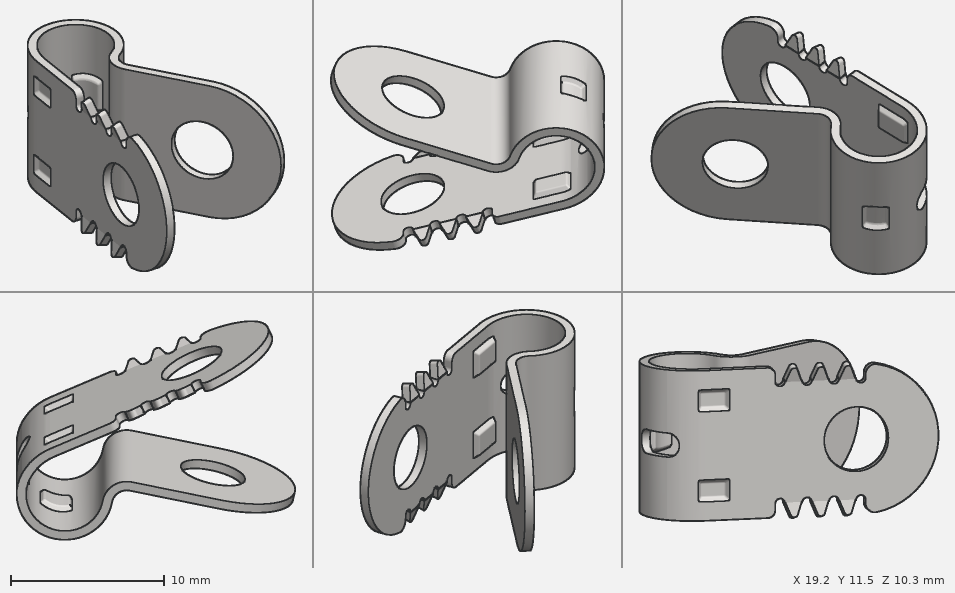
import cadquery as cq
import math

SHEET = 0.62
WIDTH = 10.0
END_RADIUS = WIDTH / 2
MAIN_RADIUS = 2.83
LEAD_RADIUS = 3.53
LEAD_ANGLE = 38.0
NECK_RADIUS = 1.27
NECK_HEADING = -56.4
ARM_HEADING = 36.3
ARM_LENGTH = 5.91
PLATE_LENGTH = 10.61

HOLE_DIAMETER = 4.3
HOLE_SETBACK = 0.5

TOOTH_COUNT = 3
TOOTH_PITCH = 1.8
ROOT_RADIUS = 0.32
ROOT_HEIGHT = 4.06
LAST_ROOT_OFFSET = 0.19
NOTCH_FILLET_LOOP = 0.5
NOTCH_FILLET_END = 0.62
TOOTH_TILT = 16.0
TOOTH_PIVOT_HEIGHT = 4.1
TOOTH_LENGTH = 1.075
TOOTH_TIP_WIDTH = 0.36
TOOTH_TIP_FILLET = 0.25

DIMPLE_LENGTH = 2.1
DIMPLE_WIDTH = 1.46
DIMPLE_DEPTH = 0.34
DIMPLE_SLOPE = 0.25
DIMPLE_FILLET = 0.17
DIMPLE_WALL_GROWTH = 0.27
PLATE_DIMPLE_HEIGHT = 3.0
PLATE_DIMPLE_OFFSET = 0.6
LOOP_DIMPLE_WIDTH = 1.95
LOOP_BLOCK_DEPTH = 0.9
LOOP_DIMPLE_ANGLE = 128.3

SLOT_WIDTH = 1.6
SLOT_START = 199.0
SLOT_END = 233.0

LEAD_SHIFT = LEAD_RADIUS - MAIN_RADIUS
LEAD_X = LEAD_SHIFT * math.sin(math.radians(LEAD_ANGLE))
PLATE_MID_Y = LEAD_SHIFT * math.cos(math.radians(LEAD_ANGLE)) - LEAD_RADIUS
PLATE_OUTER_Y = PLATE_MID_Y - SHEET / 2
PLATE_INNER_Y = PLATE_MID_Y + SHEET / 2
PLATE_END_X = LEAD_X + PLATE_LENGTH
LAST_ROOT_X = PLATE_END_X - LAST_ROOT_OFFSET
FIRST_ROOT_X = LAST_ROOT_X - TOOTH_COUNT * TOOTH_PITCH
NOTCH_LOOP_X = FIRST_ROOT_X - ROOT_RADIUS
NOTCH_END_X = LAST_ROOT_X + ROOT_RADIUS
LOOP_OUTER = MAIN_RADIUS + SHEET / 2
LOOP_INNER = MAIN_RADIUS - SHEET / 2
MARGIN = 2.0
CUT_DEPTH = 2 * SHEET


def polar(center, radius, angle):
    a = math.radians(angle)
    return (center[0] + radius * math.cos(a), center[1] + radius * math.sin(a))


LEAD_CENTER = (LEAD_X, PLATE_MID_Y + LEAD_RADIUS)
NECK_CENTER = polar((0, 0), MAIN_RADIUS + NECK_RADIUS, NECK_HEADING + 90)
ARM_START = polar(NECK_CENTER, NECK_RADIUS, ARM_HEADING - 90)
ARM_END = polar(ARM_START, ARM_LENGTH, ARM_HEADING)
ARM_TIP = polar(ARM_END, END_RADIUS, ARM_HEADING)


def edge_points(outward):
    """Corner and mid-arc points of one strip face, `outward` away from mid-sheet."""
    lead = LEAD_RADIUS + outward
    loop = MAIN_RADIUS + outward
    neck = NECK_RADIUS - outward
    join = 270 - LEAD_ANGLE
    loop_end = NECK_HEADING + 90
    return {
        "plate_tip": (PLATE_END_X + END_RADIUS, PLATE_MID_Y - outward),
        "lead_start": polar(LEAD_CENTER, lead, 270),
        "lead_mid": polar(LEAD_CENTER, lead, 270 - LEAD_ANGLE / 2),
        "loop_start": polar((0, 0), loop, join),
        "loop_mid": polar((0, 0), loop, (join + loop_end) / 2),
        "neck_start": polar((0, 0), loop, loop_end),
        "neck_mid": polar(NECK_CENTER, neck, (NECK_HEADING + ARM_HEADING) / 2 - 90),
        "arm_start": polar(NECK_CENTER, neck, ARM_HEADING - 90),
        "arm_tip": polar(ARM_TIP, outward, ARM_HEADING + 90),
    }


def make_strip():
    outer = edge_points(SHEET / 2)
    inner = edge_points(-SHEET / 2)
    outline = (
        cq.Workplane("XY", origin=(0, 0, -WIDTH / 2))
        .moveTo(*outer["plate_tip"])
        .lineTo(*outer["lead_start"])
        .threePointArc(outer["lead_mid"], outer["loop_start"])
        .threePointArc(outer["loop_mid"], outer["neck_start"])
        .threePointArc(outer["neck_mid"], outer["arm_start"])
        .lineTo(*outer["arm_tip"])
        .lineTo(*inner["arm_tip"])
        .lineTo(*inner["arm_start"])
        .threePointArc(inner["neck_mid"], inner["neck_start"])
        .threePointArc(inner["loop_mid"], inner["loop_start"])
        .threePointArc(inner["lead_mid"], inner["lead_start"])
        .lineTo(*inner["plate_tip"])
        .close()
    )
    return outline.extrude(WIDTH)


def leg_plane(end_center, heading):
    """Plane half a sheet outside the leg face, on the end centre: local x along the leg."""
    a = math.radians(heading)
    return cq.Plane(
        origin=(*polar(end_center, SHEET, heading + 90), 0),
        xDir=(math.cos(a), math.sin(a), 0),
        normal=(math.sin(a), -math.cos(a), 0),
    )


def round_leg_end(body, plane):
    """Round off the square tip of a leg and drill its screw hole."""
    tip = (
        cq.Workplane(plane)
        .center(END_RADIUS / 2 + MARGIN / 2, 0)
        .rect(END_RADIUS + MARGIN, WIDTH + MARGIN)
        .extrude(CUT_DEPTH)
    )
    disc = cq.Workplane(plane).circle(END_RADIUS).extrude(CUT_DEPTH)
    hole = (
        cq.Workplane(plane)
        .center(-HOLE_SETBACK, 0)
        .circle(HOLE_DIAMETER / 2)
        .extrude(CUT_DEPTH)
    )
    return body.cut(tip.cut(disc)).cut(hole)


def make_tooth(index):
    """Tooth on the +Z edge, leaning outward about its bend line on the inner face."""
    x = FIRST_ROOT_X + (index + 0.5) * TOOTH_PITCH
    base_width = TOOTH_PITCH - 2 * ROOT_RADIUS
    tooth = (
        cq.Workplane("XZ", origin=(x, PLATE_INNER_Y, TOOTH_PIVOT_HEIGHT))
        .moveTo(-base_width / 2, 0)
        .lineTo(base_width / 2, 0)
        .lineTo(TOOTH_TIP_WIDTH / 2, TOOTH_LENGTH)
        .lineTo(-TOOTH_TIP_WIDTH / 2, TOOTH_LENGTH)
        .close()
        .extrude(SHEET)
        .edges("|Y and >Z")
        .fillet(TOOTH_TIP_FILLET)
    )
    pivot = (x, PLATE_INNER_Y, TOOTH_PIVOT_HEIGHT)
    return tooth.rotate(pivot, (x + 1, pivot[1], pivot[2]), TOOTH_TILT)


def make_notch():
    """Cutting body for the notch in the +Z edge, with its row of round roots."""
    length = NOTCH_END_X - NOTCH_LOOP_X
    height = WIDTH / 2 + MARGIN - ROOT_HEIGHT
    notch = cq.Workplane("XY").box(length, CUT_DEPTH, height, centered=(False, True, False))
    notch = notch.translate((NOTCH_LOOP_X, PLATE_MID_Y, ROOT_HEIGHT))
    roots = [(FIRST_ROOT_X + i * TOOTH_PITCH, ROOT_HEIGHT) for i in range(TOOTH_COUNT + 1)]
    root_cutters = (
        cq.Workplane("XZ", origin=(0, PLATE_MID_Y + SHEET, 0))
        .pushPoints(roots)
        .circle(ROOT_RADIUS)
        .extrude(CUT_DEPTH)
    )
    return notch.union(root_cutters)


def notch_corner(x):
    """Selector for the outer corner edges of both notches at one X."""
    return cq.selectors.BoxSelector(
        (x - ROOT_RADIUS / 2, PLATE_OUTER_Y - SHEET, -WIDTH),
        (x + ROOT_RADIUS / 2, PLATE_INNER_Y + SHEET, WIDTH),
    )


def add_teeth(body):
    notch = make_notch()
    body = body.cut(notch).cut(notch.mirror("XY"))
    corners = {NOTCH_LOOP_X: NOTCH_FILLET_LOOP, NOTCH_END_X: NOTCH_FILLET_END}
    for x, radius in corners.items():
        body = body.edges("|Y").edges(notch_corner(x)).edges(">Z or <Z").fillet(radius)
    for index in range(TOOTH_COUNT):
        tooth = make_tooth(index)
        body = body.union(tooth).union(tooth.mirror("XY"))
    return body


def tapered_block(plane, length, width, depth):
    """Block with equally sloped walls, shrinking along the plane normal."""
    run = DIMPLE_SLOPE / DIMPLE_DEPTH * depth
    return (
        cq.Workplane(plane)
        .rect(length, width)
        .workplane(offset=depth)
        .rect(length - 2 * run, width - 2 * run)
        .loft(ruled=True)
    )


def rounded_block(plane, length, width, depth):
    """Tapered block with its wall corners and far face edges rounded."""
    block = tapered_block(plane, length, width, depth)
    near_edges = cq.selectors.DirectionMinMaxSelector(plane.zDir, directionMax=False)
    return block.edges(cq.selectors.InverseSelector(near_edges)).fillet(DIMPLE_FILLET)


def add_plate_dimples(body):
    x = LEAD_X + PLATE_DIMPLE_OFFSET
    grown_length = DIMPLE_LENGTH + 2 * DIMPLE_WALL_GROWTH
    grown_width = DIMPLE_WIDTH + 2 * DIMPLE_WALL_GROWTH
    for z in (-PLATE_DIMPLE_HEIGHT, PLATE_DIMPLE_HEIGHT):
        inner_plane = cq.Plane((x, PLATE_INNER_Y, z), xDir=(1, 0, 0), normal=(0, 1, 0))
        outer_plane = cq.Plane((x, PLATE_OUTER_Y, z), xDir=(1, 0, 0), normal=(0, 1, 0))
        bump = rounded_block(inner_plane, grown_length, grown_width, DIMPLE_DEPTH)
        pocket = rounded_block(outer_plane, DIMPLE_LENGTH, DIMPLE_WIDTH, DIMPLE_DEPTH)
        body = body.union(bump).cut(pocket)
    return body


def loop_plane(radius, angle):
    """Plane tangent to the loop, facing its axis, with local x along Z."""
    x, y = polar((0, 0), radius, angle)
    return cq.Plane((x, y, 0), xDir=(0, 0, 1), normal=(-x, -y, 0))


def loop_ring(inner_radius, outer_radius):
    ring = cq.Workplane("XY", origin=(0, 0, -WIDTH / 2)).circle(outer_radius).circle(inner_radius)
    return ring.extrude(WIDTH)


def curved_block(surface_radius, ring_outer, length, width):
    """Rounded block sunk from a loop surface, its far face concentric with the loop."""
    floor_radius = surface_radius - DIMPLE_DEPTH
    block = rounded_block(loop_plane(surface_radius, LOOP_DIMPLE_ANGLE), length, width, LOOP_BLOCK_DEPTH)
    block = block.intersect(loop_ring(floor_radius, ring_outer))
    floor_center = polar((0, 0), floor_radius, LOOP_DIMPLE_ANGLE)
    floor = block.faces(cq.selectors.NearestToPointSelector((*floor_center, 0)))
    return floor.edges().fillet(DIMPLE_FILLET)


def add_loop_dimple(body):
    """Dimple whose floor and crown follow the curve of the loop."""
    bump = curved_block(
        LOOP_INNER,
        LOOP_INNER,
        DIMPLE_LENGTH + 2 * DIMPLE_WALL_GROWTH,
        LOOP_DIMPLE_WIDTH + 2 * DIMPLE_WALL_GROWTH,
    )
    pocket = curved_block(LOOP_OUTER, LOOP_OUTER + SHEET, DIMPLE_LENGTH, LOOP_DIMPLE_WIDTH)
    return body.union(bump).cut(pocket)


def cut_slot(body):
    """Round-ended slot bent with the loop, its walls pointing at the loop axis."""
    inside = LOOP_INNER - SHEET
    outside = LOOP_OUTER + SHEET
    corners = [
        polar((0, 0), inside, SLOT_START),
        polar((0, 0), outside, SLOT_START),
        polar((0, 0), outside, SLOT_END),
        polar((0, 0), inside, SLOT_END),
    ]
    body = body.cut(cq.Workplane("XY").polyline(corners).close().extrude(SLOT_WIDTH / 2, both=True))
    for angle in (SLOT_START, SLOT_END):
        end = cq.Workplane(loop_plane(outside, angle)).circle(SLOT_WIDTH / 2).extrude(outside - inside)
        body = body.cut(end)
    return body


result = make_strip()
result = round_leg_end(result, leg_plane((PLATE_END_X, PLATE_MID_Y), 0))
result = round_leg_end(result, leg_plane(ARM_END, ARM_HEADING))
result = add_teeth(result)
result = add_plate_dimples(result)
result = add_loop_dimple(result)
result = cut_slot(result)